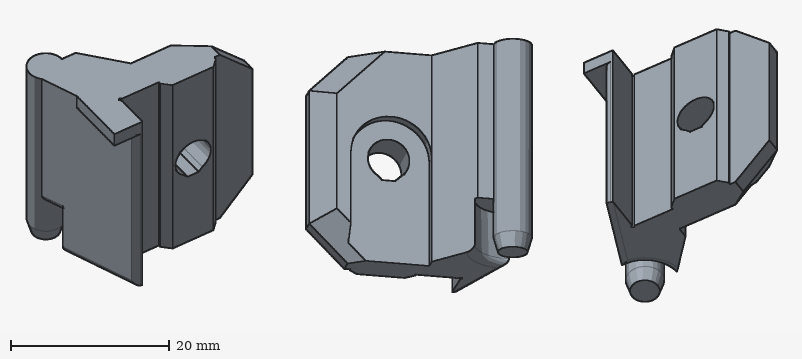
import cadquery as cq
import math

WIDTH = 17.85
LENGTH = 26.95
HEIGHT = 28.0

PIN_RADIUS = 2.45
TIP_RADIUS = 1.88
TIP_HEIGHT = 2.0

LEAF_BACK = 5.52
LEAF_FRONT = 10.42
LEAF_END = LENGTH - PIN_RADIUS
NECK_TOP = 4.55
SHOULDER_TOP = 9.27
FLANGE_END = WIDTH - PIN_RADIUS
FLANGE_TOP = 4.42
FLANGE_BOTTOM = 0.17
FLANGE_HEIGHT = 2.0
SLOPE_END_X = 6.83
SLOPE_ANGLE = 20.5

PAD_DEPTH = 1.43
PAD_LOW = 10.25
PAD_HIGH = 18.7
PAD_CHAMFER = 1.12
PAD_STEP = PAD_DEPTH - PAD_CHAMFER

CORNER_CUT = 4.98
BEVEL = 2.95

HOLE_Y = 14.5
HOLE_Z = HEIGHT / 2
HOLE_RADIUS = 2.7
HOLE_FLAT_DROP = 2.85
HOLE_FLAT_HALF = 0.85
POCKET_RADIUS = HOLE_Y - SHOULDER_TOP
POCKET_DEPTH = 1.5

CLEARANCE_RADIUS = 4.82
CLEARANCE_HEIGHT = 7.0
EDGE_ROUND = 1.0
RELIEF_RADIUS = 0.2


def slope_y(x):
    """Y of the slanted front face at a given X."""
    return FLANGE_BOTTOM + (x - SLOPE_END_X) * math.tan(math.radians(SLOPE_ANGLE))


def make_body():
    """Leaf, shoulder and tapered flange as one full-height prism."""
    return (
        cq.Workplane("XY")
        .moveTo(0, 0)
        .lineTo(0, NECK_TOP)
        .lineTo(LEAF_BACK, SHOULDER_TOP)
        .lineTo(LEAF_BACK, LEAF_END)
        .lineTo(LEAF_FRONT, LEAF_END)
        .lineTo(LEAF_FRONT, FLANGE_TOP)
        .lineTo(FLANGE_END, FLANGE_TOP)
        .lineTo(FLANGE_END, slope_y(FLANGE_END))
        .lineTo(0, slope_y(0))
        .close()
        .extrude(HEIGHT)
    )


def make_clearance():
    """Space that is kept free around the lower end of the pin."""
    return cq.Workplane("XY").circle(CLEARANCE_RADIUS).extrude(CLEARANCE_HEIGHT)


def near_slope(x, z):
    """Selector for the edge closest to a point on the slanted face."""
    return cq.selectors.NearestToPointSelector((x, slope_y(x), z))


def round_front_edges(body):
    """Round the edges of the slanted face and the lower rim of the clearance."""
    bottom_rim = body.faces("<Z").edges("%CIRCLE")
    bottom_edge = body.edges(near_slope((CLEARANCE_RADIUS + FLANGE_END) / 2, 0))
    ceiling_edge = body.edges(near_slope(CLEARANCE_RADIUS / 2, CLEARANCE_HEIGHT))
    bottom_rounded = bottom_rim.add(bottom_edge).add(ceiling_edge).fillet(EDGE_ROUND)
    end_rounded = body.edges(near_slope(FLANGE_END, HEIGHT / 2)).fillet(EDGE_ROUND)
    return bottom_rounded.intersect(end_rounded)


def make_top_flange():
    """Thick upper strip of the flange."""
    return (
        cq.Workplane("XY", origin=(0, 0, HEIGHT - FLANGE_HEIGHT))
        .moveTo(SLOPE_END_X, FLANGE_BOTTOM)
        .lineTo(FLANGE_END, FLANGE_BOTTOM)
        .lineTo(FLANGE_END, FLANGE_TOP)
        .lineTo(SLOPE_END_X, FLANGE_TOP)
        .close()
        .extrude(FLANGE_HEIGHT)
    )


def make_pad():
    """Full-height pad with two chamfered corners."""
    pad_face = LEAF_FRONT + PAD_DEPTH
    return (
        cq.Workplane("XY")
        .moveTo(LEAF_BACK, PAD_LOW)
        .lineTo(LEAF_FRONT + PAD_STEP, PAD_LOW)
        .lineTo(pad_face, PAD_LOW + PAD_CHAMFER)
        .lineTo(pad_face, PAD_HIGH - PAD_CHAMFER)
        .lineTo(LEAF_FRONT + PAD_STEP, PAD_HIGH)
        .lineTo(LEAF_BACK, PAD_HIGH)
        .close()
        .extrude(HEIGHT)
    )


def make_pin():
    """Round pin with a tapered lower tip."""
    return (
        cq.Workplane("XZ")
        .lineTo(TIP_RADIUS, 0)
        .lineTo(PIN_RADIUS, TIP_HEIGHT)
        .lineTo(PIN_RADIUS, HEIGHT)
        .lineTo(0, HEIGHT)
        .close()
        .revolve(360, (0, 0), (0, 1))
    )


def make_leaf_envelope():
    """Block around the body whose free end has cut corners and a beveled back."""
    start = -PIN_RADIUS
    margin = 0.28
    front = (
        cq.Workplane("YZ", origin=(LEAF_BACK, 0, 0))
        .moveTo(start, 0)
        .lineTo(LEAF_END - CORNER_CUT, 0)
        .lineTo(LEAF_END, CORNER_CUT)
        .lineTo(LEAF_END, HEIGHT - CORNER_CUT)
        .lineTo(LEAF_END - CORNER_CUT, HEIGHT)
        .lineTo(start, HEIGHT)
        .close()
        .extrude(FLANGE_END - LEAF_BACK)
    )
    middle_y = LEAF_END - CORNER_CUT
    free_edges = cq.selectors.BoxSelector(
        (LEAF_BACK - margin, middle_y, -margin), (LEAF_BACK + margin, LEAF_END + margin, HEIGHT + margin)
    )
    front = front.edges(free_edges).chamfer(BEVEL)
    back = cq.Workplane("XY").box(LEAF_BACK, SHOULDER_TOP - start, HEIGHT, centered=False)
    return front.union(back.translate((0, start, 0)))


def make_screw_hole():
    """Hole along X, widened downward by 45 degree sides to a short flat."""
    side_sum = HOLE_FLAT_HALF + HOLE_FLAT_DROP
    side_gap = math.sqrt(2 * HOLE_RADIUS**2 - side_sum**2)
    side_y = (side_sum - side_gap) / 2
    side_z = (side_sum + side_gap) / 2
    return (
        cq.Workplane("YZ", origin=(0, HOLE_Y, HOLE_Z))
        .moveTo(-side_y, -side_z)
        .threePointArc((0, HOLE_RADIUS), (side_y, -side_z))
        .lineTo(HOLE_FLAT_HALF, -HOLE_FLAT_DROP)
        .lineTo(-HOLE_FLAT_HALF, -HOLE_FLAT_DROP)
        .close()
        .extrude(FLANGE_END)
    )


def make_screw_pocket():
    """Round-topped pocket, open at the bottom of the leaf."""
    return (
        cq.Workplane("YZ", origin=(LEAF_BACK, HOLE_Y, HOLE_Z))
        .moveTo(-POCKET_RADIUS, -HOLE_Z)
        .lineTo(-POCKET_RADIUS, 0)
        .threePointArc((0, POCKET_RADIUS), (POCKET_RADIUS, 0))
        .lineTo(POCKET_RADIUS, -HOLE_Z)
        .close()
        .extrude(POCKET_DEPTH)
    )


def make_corner_relief():
    """Small relief groove in the inner corner of leaf and flange."""
    return cq.Workplane("XY").center(LEAF_FRONT, FLANGE_TOP).circle(RELIEF_RADIUS).extrude(HEIGHT)


body = make_body().cut(make_clearance())
body = round_front_edges(body)
body = body.union(make_top_flange()).union(make_pad())
body = body.intersect(make_leaf_envelope())
body = body.cut(make_screw_hole()).cut(make_screw_pocket()).cut(make_corner_relief())
result = body.union(make_pin())